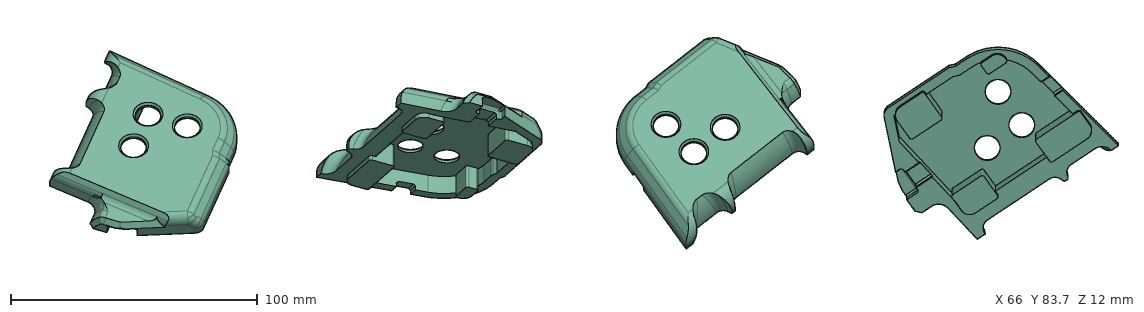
import cadquery as cq
import math

HEIGHT = 9.95
FOOT_HEIGHT = 2.0
LENGTH_Y = 83.7
WIDTH_X = 66.0
PLATE_THICKNESS = 2.0
EDGE_ROUND = 4.0

UPPER_RIGHT_X = 65.0
BACK_ANGLE = 9.5
FRONT_ANGLE = 7.5
FLANK_ANGLE = 23.2
FRONT_LEFT_Y = 14.1
FLANK_START_X = 35.5
JOG_START_Y = 45.6
JOG_END_Y = 48.0
BACK_CORNER_RADIUS = 22.85
FLANK_CORNER_RADIUS = 4.0

SIDE_BEVEL = 5.0
FRONT_BEVEL = 3.0
LEFT_ROUND = 7.95

TAB_HEIGHT = 6.95
TAB_LEFT_X = 21.9
TAB_TOP_X = 26.9
TAB_SIDE_MIDDLE = (23.85, 3.7)
ROOT_START_X = 23.4
TAB_BEVEL = 2.0
TAB_ROOT_RADIUS = 5.0

SCALLOP_FOOT_X = 4.35
SCALLOP_TOP_X = 10.3
SCALLOP_MIDDLE = (6.7, 5.7)
SCALLOP_CORNER = 4.0
SPIKE_LOW_Y = 57.0
SPIKE_HIGH_Y = 58.9
SPIKE_FLARE = 0.35
LOWER_SCALLOP_END_Y = 18.1
EAR_FOOT_Y = 80.0
EAR_TOP_Y = 74.9

HOLE_DIAMETER = 10.4
HOLE_BEVEL = 0.8
HOLE_PITCH = 17.0
FIRST_HOLE = (27.5, 38.0)

WALL = 4.0
CAVITY_LEFT_X = 12.55
NOTCH_CENTER_X = 36.0
NOTCH_WIDTH = 8.0
NOTCH_HEIGHT = 2.6
RECESS_WIDTH = 12.05
RECESS_HEIGHT = 4.6
RECESS_DEPTH = 6.0
RECESS_ROUND = 1.0
NOTCH_CORNER = 0.8
FOOT_SMALL_RADIUS = 1.0
FOOT_LARGE_RADIUS = 4.2
LEFT_FEET_X = (10.0, 21.6)
FRONT_FEET_Y = (16.0, 31.7)
BACK_LEFT_FOOT_Y = (57.2, 79.3)
FRONT_RIGHT_FOOT_X = (50.1, 64.1)
BACK_RIGHT_FOOT_X = (55.05, 60.7)
BACK_RIGHT_FOOT_Y = (57.2, 67.0)

MARGIN = 16.7
CUT_LENGTH = LENGTH_Y + 3 * MARGIN
TOLERANCE = 0.02


def slope(angle):
    return math.tan(math.radians(angle))


def back_y(x):
    return LENGTH_Y - slope(BACK_ANGLE) * x


def front_y(x):
    return FRONT_LEFT_Y - slope(FRONT_ANGLE) * x


def flank_y(x):
    return slope(FLANK_ANGLE) * (x - FLANK_START_X)


def flank_front_corner():
    rise = FRONT_LEFT_Y + slope(FLANK_ANGLE) * FLANK_START_X
    x = rise / (slope(FLANK_ANGLE) + slope(FRONT_ANGLE))
    return (x, front_y(x))


def outline():
    points = [
        (0, FRONT_LEFT_Y),
        flank_front_corner(),
        (WIDTH_X, flank_y(WIDTH_X)),
        (WIDTH_X, JOG_START_Y),
        (UPPER_RIGHT_X, JOG_END_Y),
        (UPPER_RIGHT_X, back_y(UPPER_RIGHT_X)),
        (0, LENGTH_Y),
    ]
    return cq.Workplane("XY").polyline(points).close()


BEVEL_ANGLE = 45
HALF_TURN = math.radians(BEVEL_ANGLE / 2)
BLEND_REACH = EDGE_ROUND * math.tan(HALF_TURN)
BLEND_OFFSET = BLEND_REACH * math.sin(math.radians(BEVEL_ANGLE))


def box(x_range, y_range, z_range):
    size = [high - low for low, high in (x_range, y_range, z_range)]
    corner = (x_range[0], y_range[0], z_range[0])
    return cq.Workplane("XY").box(*size, centered=False).translate(corner)


def plane_along(origin, angle):
    """Section plane of a rim, set MARGIN before the origin; local x points inward, local y up."""
    a = math.radians(angle)
    return cq.Workplane(
        cq.Plane(origin, xDir=(-math.sin(a), math.cos(a), 0), normal=(math.cos(a), math.sin(a), 0))
    ).workplane(offset=-MARGIN)


def side_rim_edges(body, level):
    """Horizontal rim edges at one height along the back and right sides."""
    def on_rim(edge):
        bounds = edge.BoundingBox()
        middle = edge.Center()
        level_edge = abs(bounds.zmin - level) < TOLERANCE and abs(bounds.zmax - level) < TOLERANCE
        inner_x = WIDTH_X - SIDE_BEVEL - EDGE_ROUND
        inner_y = back_y(UPPER_RIGHT_X) - SIDE_BEVEL
        on_back = middle.y > inner_y
        on_right = middle.x > inner_x and middle.y > FRONT_LEFT_Y
        return level_edge and (on_back or on_right)
    return [edge for edge in body.edges().vals() if on_rim(edge)]


def round_corner(body, x, y, radius):
    return body.edges(cq.selectors.NearestToPointSelector((x, y, HEIGHT / 2))).fillet(radius)


def bevel_back_and_right(body):
    rim = side_rim_edges(body, HEIGHT)
    body = body.newObject(rim).chamfer(SIDE_BEVEL)
    for level in (HEIGHT, HEIGHT - SIDE_BEVEL):
        body = body.newObject(side_rim_edges(body, level)).fillet(EDGE_ROUND)
    return body


def front_rim_cutter():
    fold_z = HEIGHT - FRONT_BEVEL
    middle = EDGE_ROUND * (1 - math.cos(HALF_TURN))
    profile = (
        plane_along((0, FRONT_LEFT_Y, 0), -FRONT_ANGLE)
        .moveTo(0, fold_z - BLEND_REACH)
        .threePointArc(
            (middle, fold_z - BLEND_REACH + EDGE_ROUND * math.sin(HALF_TURN)),
            (BLEND_OFFSET, fold_z + BLEND_OFFSET),
        )
        .lineTo(FRONT_BEVEL + MARGIN, HEIGHT + MARGIN)
        .lineTo(-MARGIN, HEIGHT + MARGIN)
        .lineTo(-MARGIN, fold_z - BLEND_REACH)
        .close()
    )
    return profile.extrude(CUT_LENGTH)


def quarter_round_cutter(section, radius):
    profile = (
        section
        .moveTo(0, HEIGHT - radius)
        .radiusArc((radius, HEIGHT), radius)
        .lineTo(radius, HEIGHT + MARGIN)
        .lineTo(-MARGIN, HEIGHT + MARGIN)
        .lineTo(-MARGIN, HEIGHT - radius)
        .close()
    )
    return profile.extrude(CUT_LENGTH)


def plate():
    body = outline().extrude(HEIGHT)
    body = round_corner(body, UPPER_RIGHT_X, back_y(UPPER_RIGHT_X), BACK_CORNER_RADIUS)
    body = bevel_back_and_right(body)
    left_section = plane_along((0, LENGTH_Y + MARGIN, 0), -90)
    flank_section = plane_along((FLANK_START_X, 0, 0), FLANK_ANGLE)
    body = body.cut(front_rim_cutter())
    body = body.cut(quarter_round_cutter(left_section, LEFT_ROUND))
    body = body.cut(quarter_round_cutter(flank_section, EDGE_ROUND))
    return body


def tab_block():
    """Tab up to the front line of the plate, with a bulging left side and a bevelled front."""
    corner = flank_front_corner()
    footprint = (
        cq.Workplane("XY")
        .polyline([(0, 0), (FLANK_START_X, 0), corner, (0, FRONT_LEFT_Y)])
        .close()
        .extrude(TAB_HEIGHT)
    )
    block = (
        cq.Workplane("XZ")
        .moveTo(TAB_LEFT_X, 0)
        .threePointArc(TAB_SIDE_MIDDLE, (TAB_TOP_X, TAB_HEIGHT))
        .lineTo(WIDTH_X, TAB_HEIGHT)
        .lineTo(WIDTH_X, 0)
        .close()
        .extrude(-FRONT_LEFT_Y)
        .intersect(footprint)
    )
    shoulder = cq.selectors.NearestToPointSelector((TAB_TOP_X, FRONT_LEFT_Y / 2, TAB_HEIGHT))
    block = block.edges(shoulder).fillet(EDGE_ROUND)
    return block.faces("<Y").edges("not <Z").chamfer(TAB_BEVEL)


def front_prism(profile_points, start_x, end_x):
    """Prism along the front side; profile points are (distance behind the front line, height)."""
    section = plane_along((start_x, front_y(start_x), 0), -FRONT_ANGLE).workplane(offset=MARGIN)
    length = (end_x - start_x) / math.cos(math.radians(FRONT_ANGLE))
    return section.polyline(profile_points).close().extrude(length)


def root_wall():
    """Upright wall behind the front line that carries the root blend."""
    top = HEIGHT + TAB_ROOT_RADIUS
    profile = [(0, 0), (BLEND_OFFSET, 0), (BLEND_OFFSET, top), (0, top)]
    return front_prism(profile, 0, flank_front_corner()[0])


def root_edges(body):
    """Inner edges where the tab meets the wall."""
    def on_root(edge):
        middle = edge.positionAt(0.5)
        on_front_line = abs(middle.y - front_y(middle.x)) < TOLERANCE
        along_tab = TAB_LEFT_X < middle.x < flank_front_corner()[0] - EDGE_ROUND
        return on_front_line and along_tab and TOLERANCE < middle.z < TAB_HEIGHT + TOLERANCE
    return [edge for edge in body.edges().vals() if on_root(edge)]


def root_envelope():
    """Space the tab may fill: a concave sweep from its top onto the front bevel."""
    start = (ROOT_START_X, front_y(ROOT_START_X), 0)
    swept = (
        plane_along(start, -FRONT_ANGLE)
        .workplane(offset=MARGIN)
        .moveTo(-BLEND_REACH, TAB_HEIGHT)
        .radiusArc((BLEND_OFFSET, TAB_HEIGHT + BLEND_OFFSET), -EDGE_ROUND)
        .lineTo(BLEND_OFFSET, 0)
        .lineTo(-MARGIN, 0)
        .lineTo(-MARGIN, TAB_HEIGHT)
        .close()
        .extrude(WIDTH_X)
    )
    outside = [(0, 0), (0, TAB_HEIGHT), (-MARGIN, TAB_HEIGHT), (-MARGIN, 0)]
    return swept.union(front_prism(outside, 0, ROOT_START_X))


def tab():
    body = tab_block().union(root_wall())
    body = body.newObject(root_edges(body)).fillet(TAB_ROOT_RADIUS)
    return body.intersect(root_envelope()).cut(tab_flank_cutter())


def tab_flank_cutter():
    return (
        plane_along((FLANK_START_X, 0, 0), FLANK_ANGLE)
        .moveTo(0, TAB_HEIGHT - TAB_BEVEL)
        .lineTo(MARGIN, TAB_HEIGHT - TAB_BEVEL + MARGIN)
        .lineTo(-MARGIN, TAB_HEIGHT - TAB_BEVEL + MARGIN)
        .lineTo(-MARGIN, TAB_HEIGHT - TAB_BEVEL)
        .close()
        .extrude(CUT_LENGTH)
    )


def scallop_stock():
    """Space left of the bulging scallop floor, along the whole side."""
    return (
        cq.Workplane("XZ", origin=(0, LENGTH_Y + MARGIN, 0))
        .moveTo(-MARGIN, 0)
        .lineTo(SCALLOP_FOOT_X, 0)
        .threePointArc(SCALLOP_MIDDLE, (SCALLOP_TOP_X, HEIGHT))
        .lineTo(-MARGIN, HEIGHT)
        .close()
        .extrude(LENGTH_Y + 2 * MARGIN)
    )


def round_scallop_ends(cutter):
    middle_x, middle_z = SCALLOP_MIDDLE
    floor_point = (middle_x, cutter.val().Center().y, middle_z)
    floor = cutter.faces(cq.selectors.NearestToPointSelector(floor_point))
    return floor.edges("not(<Z or >Z)").fillet(SCALLOP_CORNER)


def upper_scallop():
    above_spike = (
        cq.Workplane("XY")
        .moveTo(-MARGIN, SPIKE_HIGH_Y - SPIKE_FLARE * MARGIN)
        .lineTo(MARGIN, SPIKE_HIGH_Y + SPIKE_FLARE * MARGIN)
        .lineTo(MARGIN, LENGTH_Y + MARGIN)
        .lineTo(-MARGIN, LENGTH_Y + MARGIN)
        .close()
        .extrude(HEIGHT)
    )
    below_ear = (
        cq.Workplane("YZ", origin=(-MARGIN, 0, 0))
        .moveTo(0, 0)
        .lineTo(EAR_FOOT_Y, 0)
        .lineTo(EAR_TOP_Y, HEIGHT)
        .lineTo(0, HEIGHT)
        .close()
        .extrude(2 * MARGIN)
    )
    return round_scallop_ends(scallop_stock().intersect(above_spike).intersect(below_ear))


def lower_scallop():
    limits = (
        cq.Workplane("XY")
        .moveTo(-MARGIN, LOWER_SCALLOP_END_Y)
        .lineTo(MARGIN, LOWER_SCALLOP_END_Y)
        .lineTo(MARGIN, SPIKE_LOW_Y - SPIKE_FLARE * MARGIN)
        .lineTo(-MARGIN, SPIKE_LOW_Y + SPIKE_FLARE * MARGIN)
        .close()
        .extrude(HEIGHT)
    )
    return round_scallop_ends(scallop_stock().intersect(limits))


def hole_cutter():
    x, y = FIRST_HOLE
    centers = [(x, y), (x, y + HOLE_PITCH), (x + HOLE_PITCH, y + HOLE_PITCH)]
    bore = cq.Workplane("XY").pushPoints(centers).circle(HOLE_DIAMETER / 2).extrude(HEIGHT)
    mouth = (
        cq.Workplane("XY", origin=(0, 0, HEIGHT - HOLE_BEVEL))
        .pushPoints(centers)
        .circle(HOLE_DIAMETER / 2)
        .extrude(HOLE_BEVEL, taper=-BEVEL_ANGLE)
    )
    return bore.union(mouth)


def cavity():
    hollow = outline().extrude(HEIGHT)
    hollow = round_corner(hollow, UPPER_RIGHT_X, back_y(UPPER_RIGHT_X), BACK_CORNER_RADIUS)
    inner_wire = hollow.faces("<Z").wires().toPending().offset2D(-WALL)
    hollow = inner_wire.extrude(HEIGHT - PLATE_THICKNESS, combine=False)
    return hollow.cut(box((-MARGIN, CAVITY_LEFT_X), (0, LENGTH_Y), (0, HEIGHT)))


def slot(width, height, length):
    x_range = (NOTCH_CENTER_X - width / 2, NOTCH_CENTER_X + width / 2)
    block = box(x_range, (-MARGIN, length), (-MARGIN, height))
    return block.edges("|Y and >Z").chamfer(NOTCH_CORNER)


def recess():
    pocket = slot(RECESS_WIDTH, RECESS_HEIGHT, RECESS_DEPTH)
    return pocket.faces(">Y").edges("not <Z").fillet(RECESS_ROUND)


def foot(x_range, y_range, large_corner, z_range):
    column = box(x_range, y_range, z_range)
    column = column.edges("|Z").edges(f"not ({large_corner})").fillet(FOOT_SMALL_RADIUS)
    outer_edge = column.edges("|Z").edges(large_corner)
    return outer_edge.fillet(FOOT_LARGE_RADIUS)


def feet(z_range):
    """Foot columns between two heights, each with its outer corner generously rounded."""
    columns = foot(LEFT_FEET_X, FRONT_FEET_Y, "<X and <Y", z_range)
    columns = columns.union(foot(LEFT_FEET_X, BACK_LEFT_FOOT_Y, "<X and >Y", z_range))
    columns = columns.union(foot(FRONT_RIGHT_FOOT_X, FRONT_FEET_Y, ">X and <Y", z_range))
    return columns.union(foot(BACK_RIGHT_FOOT_X, BACK_RIGHT_FOOT_Y, ">X and >Y", z_range))


result = plate()
result = round_corner(result, WIDTH_X, flank_y(WIDTH_X), FLANK_CORNER_RADIUS)
result = result.union(tab())
result = result.cut(upper_scallop()).cut(lower_scallop()).cut(hole_cutter())
result = result.cut(cavity().cut(feet((0, HEIGHT))))
result = result.cut(recess())
result = result.cut(slot(NOTCH_WIDTH, NOTCH_HEIGHT, LENGTH_Y))
result = result.union(feet((-FOOT_HEIGHT, 0)))